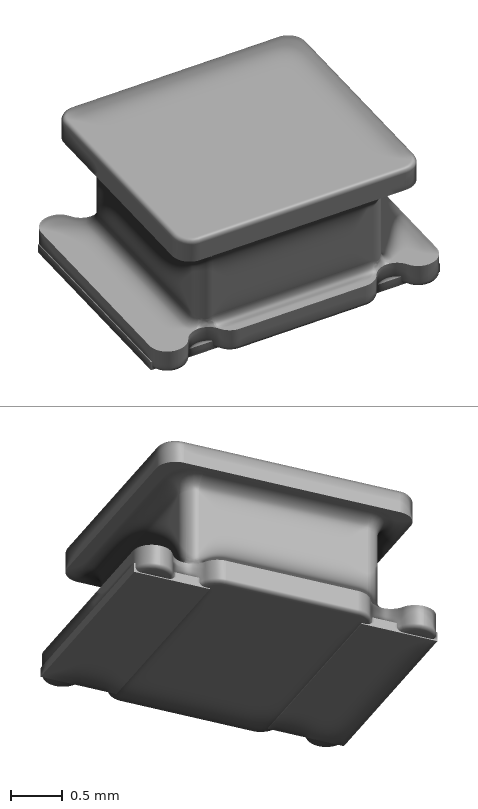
import cadquery as cq

overall_length = 3.22
overall_height = 1.51
width = 2.5

flange_thickness = 0.255
corner_radius = 0.2
rim_fillet = 0.048

pad_width = 2.2
pad_height = 0.1
pad_inner_end = 0.805
pad_protrusion = 0.01

base_length = overall_length - 2 * pad_protrusion
notch_radius = corner_radius

core_side = 2.1
core_corner_radius = 0.15
core_top_fillet = 0.15
core_bottom_fillet = 0.095

top_length = 2.698

base_top = pad_protrusion + flange_thickness
top_flange_bottom = overall_height - flange_thickness
core_height = top_flange_bottom - base_top
selection_margin = 0.003


def rounded_block(size_x, size_y, height, radius, bottom):
    """Upright block with rounded vertical edges, standing at the given height."""
    block = cq.Workplane("XY").workplane(offset=bottom).rect(size_x, size_y).extrude(height)
    return block.edges("|Z").fillet(radius)


def make_base():
    """Bottom flange: a plate with a round notch cut into its sides near each corner."""
    plate = cq.Workplane("XY").workplane(offset=pad_protrusion)
    plate = plate.rect(width, base_length).extrude(flange_thickness)
    notches = (
        cq.Workplane("XY")
        .workplane(offset=pad_protrusion)
        .rect(width, core_side, forConstruction=True)
        .vertices()
        .circle(notch_radius)
        .extrude(flange_thickness)
    )
    plate = plate.cut(notches).edges("|Z").fillet(corner_radius)
    return plate.faces("<Z").edges().fillet(rim_fillet)


def make_core():
    return rounded_block(core_side, core_side, core_height, core_corner_radius, base_top)


def make_top_flange():
    flange = rounded_block(width, top_length, flange_thickness, corner_radius, top_flange_bottom)
    return flange.faces(">Z").edges().fillet(rim_fillet)


def make_pads():
    """Two flat terminals reaching slightly below and beyond the ends of the base."""
    pad_length = overall_length / 2 - pad_inner_end
    pad_centre = pad_inner_end + pad_length / 2
    return (
        cq.Workplane("XY")
        .pushPoints([(0, -pad_centre), (0, pad_centre)])
        .rect(pad_width, pad_length)
        .extrude(pad_height)
    )


def core_edges_at(height):
    """Selector for the edges where the core meets a flange at the given height."""
    reach = core_side / 2 + selection_margin
    return cq.selectors.BoxSelector(
        (-reach, -reach, height - selection_margin),
        (reach, reach, height + selection_margin),
    )


body = make_base().union(make_core()).union(make_top_flange())
body = body.edges(core_edges_at(top_flange_bottom)).fillet(core_top_fillet)
body = body.edges(core_edges_at(base_top)).fillet(core_bottom_fillet)

result = body.union(make_pads())